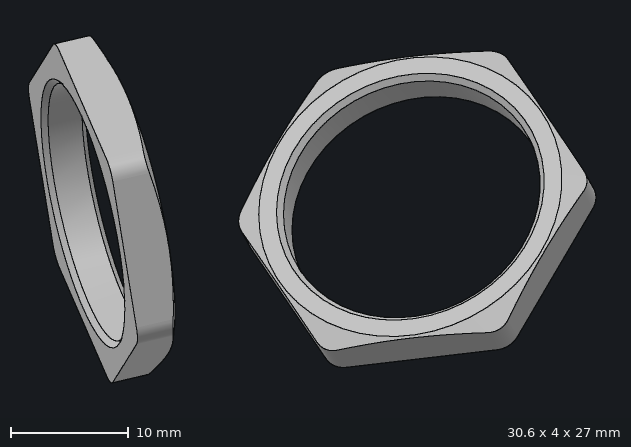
import cadquery as cq
import math

across_corners = 30.55
across_flats = 27.0
thickness = 4.0
bore_diameter = 22.5
bore_chamfer = 0.5
crown_flat_diameter = 26.6
crown_drop = 0.83

sharp_corners = across_flats / math.cos(math.radians(30))
corner_radius = (sharp_corners - across_corners) / 2 / (1 / math.cos(math.radians(30)) - 1)


def hexagon_body():
    """Hexagonal plate from Y = 0 to Y = thickness, with corners on the X axis."""
    plate = cq.Workplane("XZ").polygon(6, sharp_corners).extrude(-thickness)
    return plate.edges("|Y").fillet(corner_radius)


def crown_envelope():
    """Revolved blank whose conical +Y edge crowns the hexagon corners."""
    crown_radius = crown_flat_diameter / 2
    slope = crown_drop / (across_corners / 2 - crown_radius)
    outer_radius = sharp_corners / 2
    outer_height = thickness - slope * (outer_radius - crown_radius)
    profile = (
        cq.Workplane("XY")
        .lineTo(outer_radius, 0)
        .lineTo(outer_radius, outer_height)
        .lineTo(crown_radius, thickness)
        .lineTo(0, thickness)
        .close()
    )
    return profile.revolve(360, (0, 0, 0), (0, 1, 0))


def bore_cutter():
    """Through bore, chamfered at both faces."""
    bore_radius = bore_diameter / 2
    mouth_radius = bore_radius + bore_chamfer
    profile = (
        cq.Workplane("XY")
        .lineTo(mouth_radius, 0)
        .lineTo(bore_radius, bore_chamfer)
        .lineTo(bore_radius, thickness - bore_chamfer)
        .lineTo(mouth_radius, thickness)
        .lineTo(0, thickness)
        .close()
    )
    return profile.revolve(360, (0, 0, 0), (0, 1, 0))


result = hexagon_body().intersect(crown_envelope()).cut(bore_cutter())